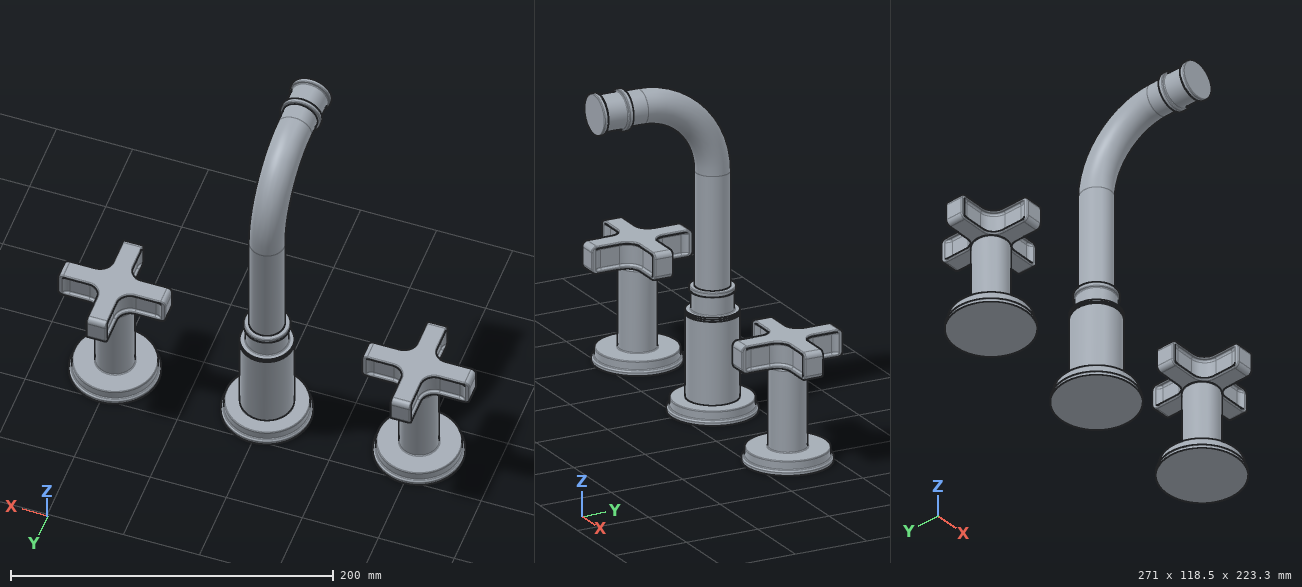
import cadquery as cq
import math

overall_width = 271.0
handle_span = 71.0
handle_spacing = (overall_width - handle_span) / 2

lip_radius = 28.7
lip_height = 3.3
lip_round = 1.0
flange_radius = 26.8
flange_top = 9.2
edge_round = 0.5

handle_bottom = 64.5
handle_height = 18.5
arm_half_width = 6.5
corner_radius = 8.7
arm_tip_round = 3.5
arm_edge_round = 0.68
post_radius = 12.5
post_top_round = 1.4

recess_depth = 2.2
recess_rim = 2.0
recess_floor_round = 1.4
recess_mouth_round = 0.4
recess_end_radius = 5.7
recess_end_inset = 7.3

total_height = 223.3
body_radius = 17.0
body_top = 67.2
groove_top = 65.9
groove_bottom = 64.5
groove_depth = 0.4
collar_radius = 13.5
collar_top = 83.0
collar_lip_radius = 14.5
collar_lip_height = 3.3
pipe_radius = 11.5
bend_radius = 51.0
nozzle_radius = 12.0
nozzle_lip_radius = 13.5
nozzle_lip_length = 3.3
nozzle_start = 62.0
nozzle_end = 83.0
nozzle_height = total_height - nozzle_lip_radius


def flange():
    """Round two-step foot standing on Z = 0."""
    lip = cylinder(lip_radius, 0, lip_height)
    lip = lip.faces(">Z").edges().fillet(lip_round)
    disc = cylinder(flange_radius, 0, flange_top)
    disc = disc.faces(">Z").edges().fillet(edge_round)
    return lip.union(disc).union(joint_round(flange_radius, lip_height))


def joint_round(radius, height, side=1):
    """Ring that rounds the joint of a cylinder with a flat face, above it (side 1) or below it (side -1)."""
    reach = edge_round * (1 - math.sqrt(0.5))
    profile = (
        cq.Workplane("XZ")
        .moveTo(0, height)
        .lineTo(radius + edge_round, height)
        .threePointArc((radius + reach, height + side * reach), (radius, height + side * edge_round))
        .lineTo(0, height + side * edge_round)
        .close()
    )
    return profile.revolve(360, (0, 0, 0), (0, 1, 0))


def raised_lip(radius, bottom, top):
    """Short cylinder with both rims rounded."""
    return cylinder(radius, bottom, top).edges().fillet(edge_round)


def cylinder(radius, bottom, top):
    return cq.Workplane("XY").workplane(offset=bottom).circle(radius).extrude(top - bottom)


def cross_blank():
    """Four-armed cross with rounded inside corners, tips and edges."""
    width = 2 * arm_half_width
    cross = (
        cq.Workplane("XY")
        .rect(handle_span, width)
        .extrude(handle_height)
        .union(cq.Workplane("XY").rect(width, handle_span).extrude(handle_height))
    )
    inside = arm_half_width + arm_edge_round
    cross = cross.edges(cq.selectors.BoxSelector((-inside, -inside, 0), (inside, inside, handle_height)))
    cross = cross.edges("|Z").fillet(corner_radius)
    for tip in ("<X", ">X", "<Y", ">Y"):
        cross = cross.faces(tip).edges("#Z").fillet(arm_tip_round)
    return cross.newObject(outline_edges(cross)).fillet(arm_edge_round)


def outline_edges(cross):
    """Sharp edges that border the arm sides: all but the lines across the arms and the smooth seams."""
    sharp = []
    for edge in cross.edges().vals():
        center = edge.Center()
        across_arm = min(abs(center.x), abs(center.y)) < arm_edge_round
        near_tip = max(abs(center.x), abs(center.y)) > handle_span / 2 - arm_edge_round
        seam = edge.BoundingBox().zlen > arm_tip_round + arm_edge_round and not near_tip
        if not across_arm and not seam:
            sharp.append(edge)
    return sharp


def arm_recess():
    """Cutter for the recess that runs along two neighbouring arm sides, in the +X +Y quarter."""
    floor = arm_half_width - recess_depth
    corner = arm_half_width + corner_radius
    corner_mid = corner - (corner_radius + recess_depth) * math.sqrt(0.5)
    end = handle_span / 2 - recess_end_inset
    end_reach = recess_end_radius * math.sqrt(0.5)
    far = end + recess_end_radius
    near = floor + recess_end_radius
    end_mid = (end + end_reach, near - end_reach)
    cutter = (
        cq.Workplane("XY")
        .workplane(offset=recess_rim)
        .moveTo(far, near)
        .threePointArc(end_mid, (end, floor))
        .lineTo(corner, floor)
        .threePointArc((corner_mid, corner_mid), (floor, corner))
        .lineTo(floor, end)
        .threePointArc(end_mid[::-1], (near, far))
        .lineTo(far, far)
        .close()
        .extrude(handle_height - 2 * recess_rim)
    )
    return cutter.faces("|Z").edges().fillet(recess_floor_round)


def mouth_edges(cross):
    """Edges where the recesses open onto the arm sides."""
    corner = arm_half_width + corner_radius
    middle = handle_height / 2
    tolerance = 0.03
    mouth = []
    for edge in cross.edges().vals():
        center = edge.positionAt(0.5)
        x, y = abs(center.x), abs(center.y)
        between_rims = abs(center.z - middle) < middle - recess_rim + tolerance
        inside_tip = max(x, y) < handle_span / 2 - 2 * arm_edge_round
        on_arm = abs(min(x, y) - arm_half_width) < tolerance and max(x, y) > corner - tolerance
        on_corner = abs(math.hypot(corner - x, corner - y) - corner_radius) < tolerance
        if between_rims and inside_tip and (on_arm or on_corner):
            mouth.append(edge)
    return mouth


def cross_handle():
    """Cross with a recess in each of its four quarters, resting at its height above the foot."""
    cross = cross_blank()
    recess = arm_recess()
    for quarter in range(4):
        cross = cross.cut(recess.rotate((0, 0, 0), (0, 0, 1), 90 * quarter))
    cross = cross.newObject(mouth_edges(cross)).fillet(recess_mouth_round)
    return cross.translate((0, 0, handle_bottom))


def handle(x):
    """Foot, post and cross handle as one body, standing at the given X."""
    post = cylinder(post_radius, flange_top, handle_bottom)
    post = post.faces(">Z").edges().fillet(post_top_round)
    body = flange().union(joint_round(post_radius, flange_top)).union(post)
    return body.union(cross_handle()).translate((x, 0, 0))


def spout_column():
    """Foot, grooved body and lipped collar."""
    body = cylinder(body_radius, flange_top, body_top)
    groove = cylinder(body_radius, groove_bottom, groove_top)
    groove = groove.cut(cylinder(body_radius - groove_depth, groove_bottom, groove_top))
    collar = cylinder(collar_radius, body_top, collar_top)
    lip_bottom = collar_top - collar_lip_height
    lip = raised_lip(collar_lip_radius, lip_bottom, collar_top)
    column = flange().union(body.cut(groove)).union(collar).union(lip)
    column = column.union(joint_round(collar_radius, body_top))
    return column.union(joint_round(collar_radius, lip_bottom, -1))


def spout_pipe():
    """Upright pipe that bends forward to -Y and runs level into the nozzle."""
    bend_start = nozzle_height - bend_radius
    bend_reach = bend_radius * math.sqrt(0.5)
    path = (
        cq.Workplane("YZ")
        .moveTo(0, collar_top)
        .lineTo(0, bend_start)
        .threePointArc((bend_reach - bend_radius, bend_start + bend_reach), (-bend_radius, nozzle_height))
        .lineTo(-nozzle_start, nozzle_height)
    )
    return cq.Workplane("XY").workplane(offset=collar_top).circle(pipe_radius).sweep(path)


def nozzle():
    """Nozzle with a rounded lip at each end, built upright and then turned to face -Y."""
    rear_lip_end = nozzle_start + nozzle_lip_length
    front_lip_start = nozzle_end - nozzle_lip_length
    barrel = cylinder(nozzle_radius, nozzle_start, nozzle_end)
    upright = (
        barrel.union(raised_lip(nozzle_lip_radius, nozzle_start, rear_lip_end))
        .union(raised_lip(nozzle_lip_radius, front_lip_start, nozzle_end))
        .union(joint_round(nozzle_radius, rear_lip_end))
        .union(joint_round(nozzle_radius, front_lip_start, -1))
    )
    return upright.rotate((0, 0, 0), (1, 0, 0), 90).translate((0, 0, nozzle_height))


spout = spout_column().union(spout_pipe()).union(nozzle())
handles = [handle(x) for x in (-handle_spacing, handle_spacing)]

result = cq.Compound.makeCompound([spout.val(), *[body.val() for body in handles]])